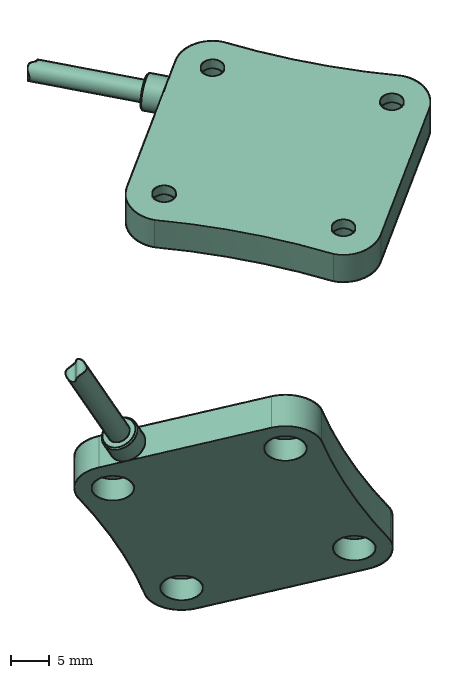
import cadquery as cq

total_length = 52.45
body_size = 34.0
thickness = 5.0
corner_radius = 5.0
waist_depth = 0.8
hole_diameter = 3.1
counterbore_diameter = 5.5
hole_land = 1.65

sleeve_diameter = thickness
sleeve_length = 3.0
sleeve_chamfer = 0.2
cable_diameter = 3.0
cable_offset = 8.0
cut_sag = 0.45

half_size = body_size / 2
corner_centre = half_size - corner_radius
axis_height = thickness / 2
sleeve_end = -half_size - sleeve_length
cable_tip = half_size - total_length


def make_body():
    """Square plate with round corners and two shallow concave sides (+Y and -Y)."""
    diagonal = corner_radius * 0.5 ** 0.5
    corner_mid = corner_centre + diagonal
    waist = half_size - waist_depth
    return (
        cq.Workplane("XY")
        .moveTo(-corner_centre, -half_size)
        .threePointArc((0, -waist), (corner_centre, -half_size))
        .threePointArc((corner_mid, -corner_mid), (half_size, -corner_centre))
        .lineTo(half_size, corner_centre)
        .threePointArc((corner_mid, corner_mid), (corner_centre, half_size))
        .threePointArc((0, waist), (-corner_centre, half_size))
        .threePointArc((-corner_mid, corner_mid), (-half_size, corner_centre))
        .lineTo(-half_size, -corner_centre)
        .threePointArc((-corner_mid, -corner_mid), (-corner_centre, -half_size))
        .close()
        .extrude(thickness)
    )


def drill_mounting_holes(body):
    """Through holes concentric with the rounded corners, counterbored from the underside."""
    spacing = 2 * corner_centre
    return (
        body.faces("<Z").workplane(origin=(0, 0, 0))
        .rect(spacing, spacing, forConstruction=True)
        .vertices()
        .cboreHole(hole_diameter, counterbore_diameter, thickness - hole_land)
    )


def rod_along_x(diameter, start, end):
    """Cylinder on the cable axis between two X positions."""
    return (
        cq.Workplane("YZ", origin=(start, cable_offset, axis_height))
        .circle(diameter / 2)
        .extrude(end - start)
    )


def make_sleeve():
    """Cable sleeve on the -X side with a chamfered outer rim."""
    return rod_along_x(sleeve_diameter, sleeve_end, -half_size).faces("<X").chamfer(sleeve_chamfer)


def make_cable():
    """Cable stub whose free end is broken off along an S-shaped curve."""
    radius = cable_diameter / 2
    break_line = cable_tip + cut_sag
    s_profile = (
        cq.Workplane("XY")
        .moveTo(sleeve_end, cable_offset + radius)
        .lineTo(break_line, cable_offset + radius)
        .threePointArc((break_line + cut_sag, cable_offset + radius / 2), (break_line, cable_offset))
        .threePointArc((cable_tip, cable_offset - radius / 2), (break_line, cable_offset - radius))
        .lineTo(sleeve_end, cable_offset - radius)
        .close()
        .extrude(thickness)
    )
    return rod_along_x(cable_diameter, cable_tip, sleeve_end).intersect(s_profile)


result = drill_mounting_holes(make_body()).union(make_sleeve()).union(make_cable())